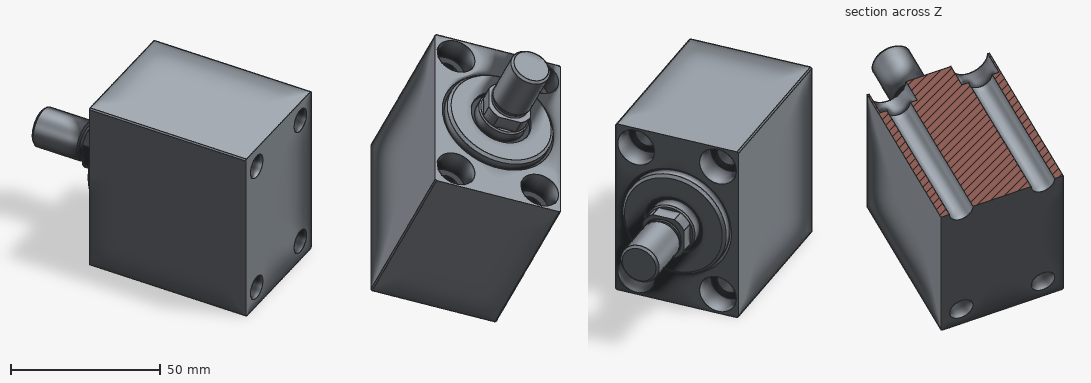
import cadquery as cq


total_length = 91.0

block_length = 60.0
block_width = 45.0
block_height = 65.0
block_edge_chamfer = 0.5

bolt_spacing_y = 30.0
bolt_spacing_z = 50.05
bolt_hole_diameter = 8.55
counterbore_diameter = 13.5
counterbore_depth = 9.0

gland_diameter = 37.95
gland_projection = 3.0
gland_chamfer = 1.0
gland_seat_depth = 20.0
bore_chamfer = 1.0

wiper_diameter = 21.5
wiper_setback = 1.5
wiper_length = 4.0

rod_projection = total_length - block_length
rod_diameter = 18.0
rod_chamfer = 0.55

thread_diameter = 14.0
thread_end = 17.9
thread_chamfer = 0.8
relief_diameter = 12.0
relief_taper = 0.5

flats_start = 20.0
flats_end = 25.0
flats_diameter = 17.0
across_flats = 15.0

gland_front = -gland_projection
rod_tip = -rod_projection
wiper_front = gland_front + wiper_setback
wiper_back = wiper_front + wiper_length


def cylinder(diameter, start, end):
    """Solid cylinder on the X axis between two X positions."""
    return cq.Workplane("YZ", origin=(start, 0, 0)).circle(diameter / 2).extrude(end - start)


def make_housing():
    """Block with a blind gland bore and four counterbored through holes."""
    block = (
        cq.Workplane("YZ")
        .rect(block_width, block_height)
        .extrude(block_length)
        .edges("|X")
        .chamfer(block_edge_chamfer)
    )
    bore = cylinder(gland_diameter, 0, gland_seat_depth)
    block = block.cut(bore)
    block = block.faces("<X").edges("%CIRCLE").chamfer(bore_chamfer)
    bolt_centers = [
        (side_y * bolt_spacing_y / 2, side_z * bolt_spacing_z / 2)
        for side_y in (-1, 1)
        for side_z in (-1, 1)
    ]
    front = cq.Workplane("YZ").pushPoints(bolt_centers)
    through_holes = front.circle(bolt_hole_diameter / 2).extrude(block_length)
    counterbores = front.circle(counterbore_diameter / 2).extrude(counterbore_depth)
    return block.cut(through_holes).cut(counterbores)


def make_gland():
    """Chamfered plug with a rod hole and a recess for the wiper."""
    plug = cylinder(gland_diameter, gland_front, gland_seat_depth)
    plug = plug.faces("<X").chamfer(gland_chamfer)
    wiper_recess = cylinder(wiper_diameter, gland_front, wiper_back)
    rod_hole = cylinder(rod_diameter, gland_front, gland_seat_depth)
    return plug.cut(wiper_recess).cut(rod_hole)


def make_wiper():
    """Ring that seals the rod, seated in the gland recess."""
    ring = cylinder(wiper_diameter, wiper_front, wiper_back)
    rod_hole = cylinder(rod_diameter, wiper_front, wiper_back)
    return ring.cut(rod_hole)


def make_rod():
    """Turned rod with a plain thread end, a relief groove and four wrench flats."""
    thread_radius = thread_diameter / 2
    relief_radius = relief_diameter / 2
    flats_radius = flats_diameter / 2
    rod_radius = rod_diameter / 2
    rod_length = rod_projection + gland_seat_depth
    profile = [
        (0, 0),
        (0, thread_radius - thread_chamfer),
        (thread_chamfer, thread_radius),
        (thread_end - relief_taper, thread_radius),
        (thread_end, relief_radius),
        (flats_start - relief_taper, relief_radius),
        (flats_start, relief_radius + relief_taper),
        (flats_start, flats_radius),
        (flats_end, flats_radius),
        (flats_end, rod_radius - rod_chamfer),
        (flats_end + rod_chamfer, rod_radius),
        (rod_length, rod_radius),
        (rod_length, 0),
    ]
    rod_body = (
        cq.Workplane("XY", origin=(rod_tip, 0, 0))
        .polyline(profile)
        .close()
        .revolve(axisStart=(0, 0, 0), axisEnd=(1, 0, 0))
    )
    flats_length = flats_end - flats_start
    flats_plane = cq.Workplane("YZ", origin=(rod_tip + flats_start, 0, 0))
    square = flats_plane.rect(across_flats, across_flats).extrude(flats_length)
    flats_cutter = flats_plane.circle(rod_radius).extrude(flats_length).cut(square)
    return rod_body.cut(flats_cutter)


housing = make_housing()
gland = make_gland()
wiper = make_wiper()
rod = make_rod()

result = cq.Compound.makeCompound([housing.val(), gland.val(), wiper.val(), rod.val()])